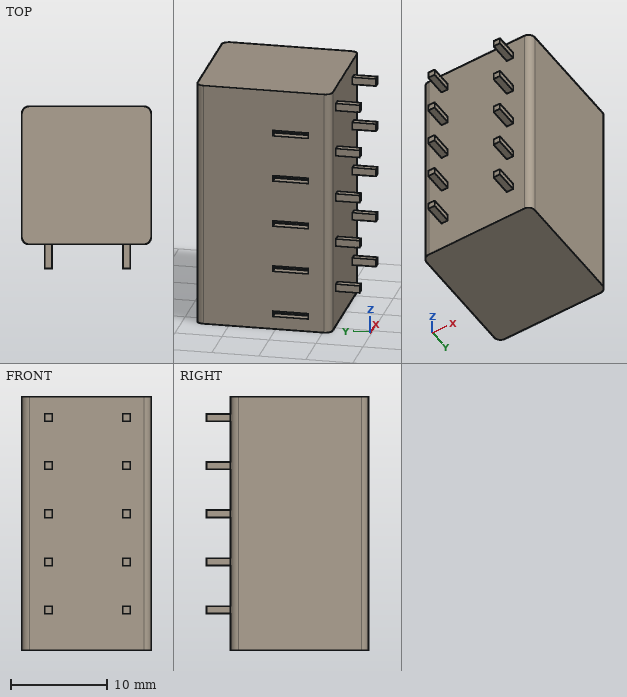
import cadquery as cq

body_width = 13.5
body_depth = 14.4
body_height = 26.4
corner_radius = 0.8

rows = 5
row_span = 20.0
row_pitch = row_span / (rows - 1)

overall_depth = 16.9
pin_length = overall_depth - body_depth
pin_side = 0.8
pin_root = 0.26
pin_column_spacing = 8.13
pin_column_offset = 0.1
lowest_pin_height = 4.2

slot_length = 3.75
slot_height = 0.6
slot_depth = 0.92
slot_back_height = 0.08
slot_center_from_front = 4.33
lowest_slot_height = 1.7


def row_heights(lowest):
    return [lowest + row * row_pitch for row in range(rows)]


def make_body():
    block = cq.Workplane("XY").box(body_width, body_depth, body_height, centered=(True, False, False))
    return block.edges("|Z").fillet(corner_radius)


def make_pin(x, z):
    pin = cq.Workplane("XY").box(pin_side, pin_length + pin_root, pin_side, centered=(True, False, True))
    return pin.translate((x, -pin_length, z))


def make_slot(z):
    mouth = -body_width / 2
    back = mouth + slot_depth
    floor = z - slot_height / 2
    profile = (
        cq.Workplane("XZ")
        .moveTo(mouth, floor + slot_height)
        .lineTo(mouth, floor)
        .lineTo(back, floor)
        .lineTo(back, floor + slot_back_height)
        .close()
    )
    slot = profile.extrude(slot_length / 2, both=True)
    return slot.translate((0, slot_center_from_front, 0))


result = make_body()

for pin_height in row_heights(lowest_pin_height):
    for side in (-1, 1):
        pin_x = pin_column_offset + side * pin_column_spacing / 2
        result = result.union(make_pin(pin_x, pin_height))

for slot_center_height in row_heights(lowest_slot_height):
    result = result.cut(make_slot(slot_center_height))